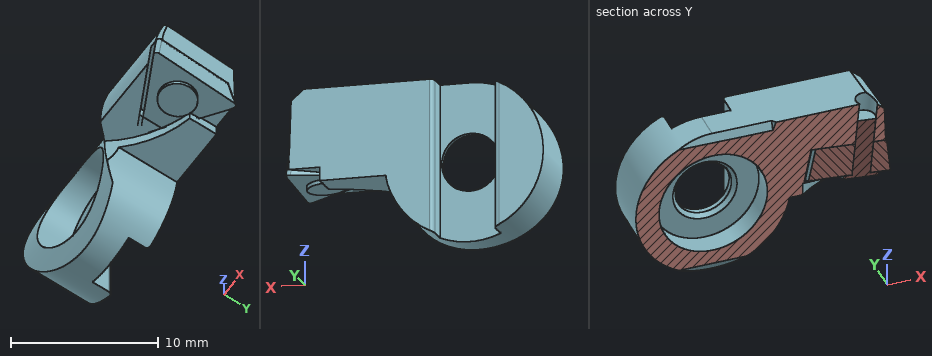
import cadquery as cq
import math

ring_radius = 5.63
bore_radius = 2.03
bore_chamfer = 0.3
counterbore_radius = 3.91
counterbore_floor = 2.38

slot_width = 4.28
slot_depth = 1.64
slot_edge_radius = 0.32

ring_depth = 5.0
ring_front_radius = 13.38
arm_depth = 6.73
turning_axis_y = ring_front_radius - ring_depth
arm_front_radius = turning_axis_y + arm_depth
ramp_start = 4.32
ramp_length = 1.68

arm_end = 12.24
end_yaw = 2.8
end_draft = 2.0
end_chamfer_x = 0.88
end_chamfer_z = 0.78
end_edge_chamfer = 0.26
blank_end = 13.97

ledge_end = 10.2
ledge_height = 0.95
relief_start = (4.92, -5.6)
relief_middle = (7.27, -3.45)
relief_end_y = -2.24

seat_x = 10.73
seat_y = -3.6
seat_z = -0.25
seat_tilt = 5.3
insert_inradius = 2.12
insert_thickness = 2.53
side_clearance = 3.0
end_clearance = 11.0
insert_nose_radius = 0.25
pocket_gap = 0.26
screw_radius = 0.76
screw_length = 4.47
screw_head_radius = 1.38
screw_head_height = 0.28
screw_hole_length = 9.32

cut_size = 37.26


def place_on_seat(shape):
    """Move a shape from its own axes to the tilted insert seat."""
    tilted = shape.rotate((0, 0, 0), (0, 1, 0), seat_tilt)
    return tilted.translate((seat_x, seat_y, seat_z))


def make_insert():
    """Equilateral insert that narrows upward, most of all at the arm end."""
    triangle = (
        cq.Workplane("XY")
        .polygon(3, 4 * insert_inradius)
        .extrude(insert_thickness, taper=side_clearance)
        .rotate((0, 0, 0), (0, 0, 1), 180)
    )
    end_run = insert_thickness * math.tan(math.radians(end_clearance))
    end_relief = (
        cq.Workplane("XZ")
        .moveTo(insert_inradius, 0)
        .lineTo(insert_inradius - end_run, insert_thickness)
        .lineTo(insert_inradius, insert_thickness)
        .close()
        .extrude(cut_size / 2, both=True)
    )
    screw_bore = cq.Workplane("XY").circle(screw_radius).extrude(insert_thickness)
    rounded = triangle.cut(end_relief).edges("not #Z").fillet(insert_nose_radius)
    return place_on_seat(rounded.cut(screw_bore).rotate((0, 0, 0), (0, 0, 1), end_yaw))


def make_pocket_gap():
    """Clearance outside the front side of the insert."""
    outward = math.radians(240 + end_yaw)
    return insert.translate((pocket_gap * math.cos(outward), pocket_gap * math.sin(outward), 0))


def make_screw():
    """Plain shank with a flat head below the insert."""
    shank = cq.Workplane("XY").circle(screw_radius).extrude(screw_length)
    head = cq.Workplane("XY").circle(screw_head_radius).extrude(-screw_head_height)
    return place_on_seat(shank.union(head))


def make_blank():
    """Ring, arm and ledge outline, limited by the turned front."""
    ring = cq.Workplane("XZ").circle(ring_radius).extrude(cut_size)
    arm = cq.Workplane("XZ").rect(blank_end, ring_radius, centered=False).extrude(cut_size)
    ledge = cq.Workplane("XZ").rect(ledge_end, -ledge_height, centered=False).extrude(cut_size)
    front_edge_x = arm_end + arm_depth * math.tan(math.radians(end_yaw))
    front_edge_start = front_edge_x - end_edge_chamfer
    chamfered_radius = arm_front_radius - (blank_end - front_edge_start)
    turned = (
        cq.Workplane("XY")
        .moveTo(-ring_radius, turning_axis_y)
        .lineTo(-ring_radius, -ring_depth)
        .lineTo(ramp_start, -ring_depth)
        .lineTo(ramp_start + ramp_length, -arm_depth)
        .lineTo(front_edge_start, -arm_depth)
        .lineTo(blank_end, turning_axis_y - chamfered_radius)
        .lineTo(blank_end, turning_axis_y)
        .close()
        .revolve(360, (0, turning_axis_y, 0), (1, turning_axis_y, 0))
    )
    return ring.union(arm).union(ledge).intersect(turned)


def make_ledge_relief():
    """Material in front of the hollow wall of the ledge."""
    return (
        cq.Workplane("XY")
        .moveTo(*relief_start)
        .threePointArc(relief_middle, (ledge_end, relief_end_y))
        .lineTo(ledge_end, -arm_depth)
        .lineTo(relief_start[0], -arm_depth)
        .close()
        .extrude(-ring_radius)
    )


def make_slot():
    """Cross slot in the back, with rounded mouth edges."""
    half = slot_width / 2
    mouth = half + slot_edge_radius
    return (
        cq.Workplane("XY", origin=(0, 0, -ring_radius))
        .moveTo(-half, -slot_depth)
        .lineTo(half, -slot_depth)
        .lineTo(half, -slot_edge_radius)
        .radiusArc((mouth, 0), slot_edge_radius)
        .lineTo(-mouth, 0)
        .radiusArc((-half, -slot_edge_radius), slot_edge_radius)
        .close()
        .extrude(2 * ring_radius)
    )


def make_bore():
    """Through bore, chamfered at the counterbore floor."""
    bore = cq.Workplane("XZ").circle(bore_radius).extrude(cut_size)
    counterbore = (
        cq.Workplane("XZ", origin=(0, -counterbore_floor, 0))
        .circle(counterbore_radius)
        .extrude(cut_size)
    )
    countersink = cq.Workplane(
        cq.Solid.makeCone(
            bore_radius + bore_chamfer,
            bore_radius,
            bore_chamfer,
            cq.Vector(0, -counterbore_floor, 0),
            cq.Vector(0, 1, 0),
        )
    )
    return bore.union(counterbore).union(countersink)


def make_end_cut():
    """Slanted end face with a chamfer along its top edge."""
    draft_run = cut_size * math.tan(math.radians(end_draft))
    return (
        cq.Workplane("XZ", origin=(arm_end, cut_size / 2, ring_radius))
        .moveTo(-end_chamfer_x, 0)
        .lineTo(0, -end_chamfer_z)
        .lineTo(draft_run, -end_chamfer_z - cut_size)
        .lineTo(cut_size, -end_chamfer_z - cut_size)
        .lineTo(cut_size, 0)
        .close()
        .extrude(cut_size)
        .rotate((arm_end, 0, 0), (arm_end, 0, 1), end_yaw)
    )


insert = make_insert()
screw = make_screw()
screw_hole = place_on_seat(cq.Workplane("XY").circle(screw_radius).extrude(screw_hole_length))

holder_cutters = (
    make_ledge_relief(),
    make_slot(),
    make_bore(),
    make_end_cut(),
    make_pocket_gap(),
    insert,
    screw,
    screw_hole,
)
holder = make_blank()
for cutter in holder_cutters:
    holder = holder.cut(cutter)

result = cq.Compound.makeCompound([holder.val(), insert.val(), screw.val()])